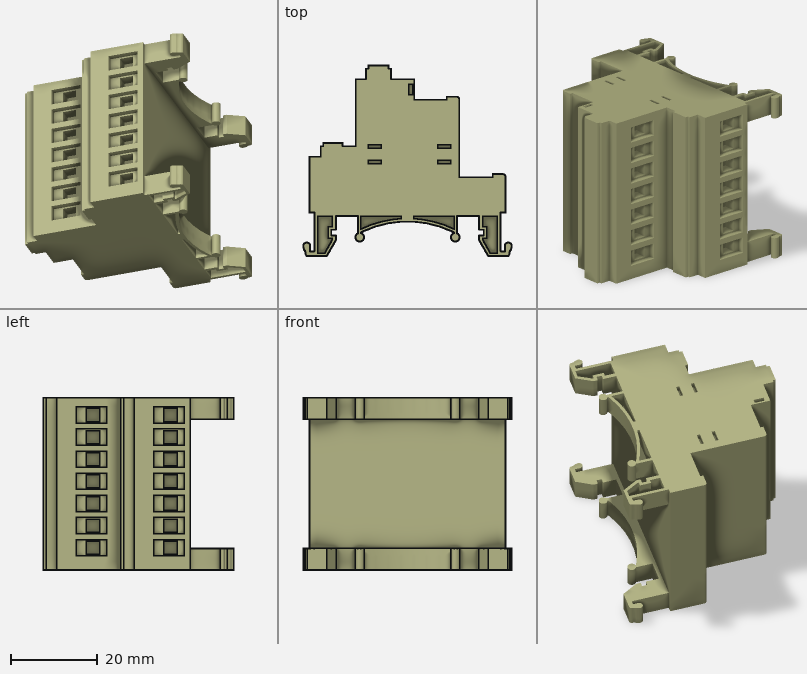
import cadquery as cq
import math


HOUSING_LENGTH = 39.75
TOP_Z = HOUSING_LENGTH / 2
LOWER_HALF_WIDTH = 22.6
UPPER_HALF_WIDTH = 12.0
HOUSING_BASE_Y = 10.05
TIER_PITCH = 17.85
RIDGE_STEP = 0.7
RIGHT_LEDGE_Y = 18.25
RIGHT_RIDGE_WIDTH = 3.0
RIGHT_RIDGE_RADIUS = 0.65
PEAK_Y = 44.0
CENTRE_STEP_X = 1.6
TERRACE_RISE = 2.45
SHOULDER_WIDTH = 0.6
LOWER_RIDGE_X = (-20.0, -14.95)
UPPER_RIDGE_X = (-9.6, -4.4)

PLATE_LENGTH = 5.0
PLATE_EDGE_Y = 9.25
WALL = 0.7
POCKET_DEPTH = PLATE_LENGTH - WALL

CLIP_OUTER_X = 21.45
CLIP_INNER_X = 16.45
CLIP_FOOT_X = 18.65
NOTCH_DEPTH = 1.1
NOTCH_TOP_Y = 6.05
NOTCH_BOTTOM_Y = 4.8
LIP_BOTTOM_Y = 3.75
LIP_RADIUS = 0.25
HOOK_TIP_X = 24.05
HOOK_WIDTH = 1.65
HOOK_TOP_Y = 3.2
HOOK_GAP_FLOOR_Y = 1.1
HOOK_GAP_RADIUS = 0.25
HOOK_TIP_END_Y = 2.2
HOOK_FLAT_END = (23.85, 1.5)
HOOK_HOLLOW_MIDDLE = (23.65, 1.15)
HOOK_HEEL_START = (23.55, 0.7)
HOOK_HEEL_MIDDLE = (23.45, 0.3)
HOOK_FOOT_X = 23.15
CLIP_POCKET_INNER_X = 17.37
CLIP_POCKET_FOOT_X = 19.05

ARCH_RADIUS = 24.05
ARCH_TOP_Y = 8.0
ARCH_CENTRE_Y = ARCH_TOP_Y - ARCH_RADIUS
STRUT_OUTER_X = 11.45
STRUT_INNER_X = STRUT_OUTER_X - WALL
ARCH_END_X = 10.05
ARCH_FOOT_Y = 5.45
BEAD_X = 11.0
BEAD_Y = 4.4
BEAD_RADIUS = 1.0
ARCH_POCKET_INNER_X = 1.45

TERMINAL_COUNT = 7
TERMINAL_PITCH = 5.1
TERMINAL_ROW_Z = 0.6
OPENING_SIZE = (7.08, 3.75)
OPENING_DEPTH = 1.5
OPENING_Y = 14.95
WIRE_HOLE_SIZE = (3.2, 3.05)
WIRE_HOLE_DEPTH = 2.9
WIRE_HOLE_OFFSET = 0.35
WIRE_HOLE_Y = OPENING_Y - WIRE_HOLE_OFFSET

SLOT_SIZE = (3.0, 0.75)
SLOT_DEPTH = 1.45
SLOT_X = (-7.5, 8.45)
SLOT_Y = (21.75, 25.3)
UPRIGHT_SLOT_SIZE = (0.95, 2.4)
UPRIGHT_SLOT_CENTRE = (0.7, 38.4)


def arch_y(x, radius):
    """Height of an arch concentric with the saddle at distance x from its middle."""
    return ARCH_CENTRE_Y + math.sqrt(radius**2 - x**2)


def ridge_points(ridge_x, base_y):
    """Left side of a terrace, up to and along the ridge that tops it."""
    left, right = ridge_x
    shoulder_y = base_y + TERRACE_RISE
    ridge_y = shoulder_y + RIDGE_STEP
    return [
        (left, base_y),
        (left, shoulder_y),
        (left + SHOULDER_WIDTH, shoulder_y),
        (left + SHOULDER_WIDTH, ridge_y),
        (right, ridge_y),
    ]


def right_ridge_points(half_width, ledge_y):
    """Ridge along the +X edge of a tier."""
    left = half_width - RIGHT_RIDGE_WIDTH
    return [
        (left, ledge_y),
        (left, ledge_y + RIDGE_STEP),
        (half_width, ledge_y + RIDGE_STEP),
    ]


def make_housing():
    """Solid body with two stepped tiers on each side."""
    upper_base_y = PEAK_Y - RIDGE_STEP - TERRACE_RISE
    upper_shoulder_y = upper_base_y + TERRACE_RISE
    upper_shoulder_end = UPPER_RIDGE_X[1] + SHOULDER_WIDTH
    lower_base_y = upper_base_y - TIER_PITCH
    lower_shoulder_y = lower_base_y + TERRACE_RISE
    points = [(-LOWER_HALF_WIDTH, HOUSING_BASE_Y), (-LOWER_HALF_WIDTH, lower_base_y)]
    points += ridge_points(LOWER_RIDGE_X, lower_base_y)
    points += [
        (LOWER_RIDGE_X[1], lower_shoulder_y),
        (-UPPER_HALF_WIDTH, lower_shoulder_y),
        (-UPPER_HALF_WIDTH, upper_base_y),
    ]
    points += ridge_points(UPPER_RIDGE_X, upper_base_y)
    points += [
        (UPPER_RIDGE_X[1], upper_shoulder_y),
        (upper_shoulder_end, upper_shoulder_y),
        (upper_shoulder_end, upper_base_y),
        (CENTRE_STEP_X, upper_base_y),
        (CENTRE_STEP_X, RIGHT_LEDGE_Y + TIER_PITCH),
    ]
    points += right_ridge_points(UPPER_HALF_WIDTH, RIGHT_LEDGE_Y + TIER_PITCH)
    points += [(UPPER_HALF_WIDTH, RIGHT_LEDGE_Y)]
    points += right_ridge_points(LOWER_HALF_WIDTH, RIGHT_LEDGE_Y)
    points += [(LOWER_HALF_WIDTH, HOUSING_BASE_Y)]
    housing = cq.Workplane("XY").polyline(points).close().extrude(TOP_Z, both=True)
    for half_width, ledge_y in (
        (UPPER_HALF_WIDTH, RIGHT_LEDGE_Y + TIER_PITCH),
        (LOWER_HALF_WIDTH, RIGHT_LEDGE_Y),
    ):
        corner = cq.selectors.NearestToPointSelector((half_width, ledge_y + RIDGE_STEP, 0))
        housing = housing.edges(corner).fillet(RIGHT_RIDGE_RADIUS)
    return housing


def make_clip():
    """Right-hand rail clip of the upper plate, pocketed from the +Z face."""
    hook_inner_x = HOOK_TIP_X - HOOK_WIDTH
    hook_round_y = HOOK_TOP_Y - HOOK_WIDTH / 2
    notch_x = CLIP_INNER_X + NOTCH_DEPTH
    plate = cq.Workplane("XY", origin=(0, 0, TOP_Z))
    clip = (
        plate.moveTo(CLIP_INNER_X, HOUSING_BASE_Y)
        .lineTo(CLIP_OUTER_X, HOUSING_BASE_Y)
        .lineTo(CLIP_OUTER_X, HOOK_GAP_FLOOR_Y)
        .lineTo(hook_inner_x, HOOK_GAP_FLOOR_Y)
        .lineTo(hook_inner_x, hook_round_y)
        .threePointArc((HOOK_TIP_X - HOOK_WIDTH / 2, HOOK_TOP_Y), (HOOK_TIP_X, hook_round_y))
        .lineTo(HOOK_TIP_X, HOOK_TIP_END_Y)
        .lineTo(*HOOK_FLAT_END)
        .threePointArc(HOOK_HOLLOW_MIDDLE, HOOK_HEEL_START)
        .threePointArc(HOOK_HEEL_MIDDLE, (HOOK_FOOT_X, 0))
        .lineTo(CLIP_FOOT_X, 0)
        .lineTo(CLIP_INNER_X, LIP_BOTTOM_Y)
        .lineTo(CLIP_INNER_X, NOTCH_BOTTOM_Y)
        .lineTo(notch_x, NOTCH_BOTTOM_Y)
        .lineTo(notch_x, NOTCH_TOP_Y)
        .lineTo(CLIP_INNER_X, NOTCH_TOP_Y)
        .close()
        .extrude(-PLATE_LENGTH)
    )
    rounded_corners = (
        (CLIP_INNER_X, NOTCH_BOTTOM_Y, LIP_RADIUS),
        (CLIP_INNER_X, NOTCH_TOP_Y, LIP_RADIUS),
        (CLIP_OUTER_X, HOOK_GAP_FLOOR_Y, HOOK_GAP_RADIUS),
    )
    for x, y, radius in rounded_corners:
        corner = cq.selectors.NearestToPointSelector((x, y, TOP_Z - PLATE_LENGTH / 2))
        clip = clip.edges(corner).fillet(radius)
    pocket = (
        plate.polyline([
            (CLIP_OUTER_X - WALL, PLATE_EDGE_Y),
            (CLIP_OUTER_X - WALL, WALL),
            (CLIP_POCKET_FOOT_X, WALL),
            (CLIP_POCKET_INNER_X, LIP_BOTTOM_Y),
            (CLIP_POCKET_INNER_X, NOTCH_BOTTOM_Y - WALL),
            (notch_x + WALL, NOTCH_BOTTOM_Y - WALL),
            (notch_x + WALL, NOTCH_TOP_Y + WALL),
            (CLIP_POCKET_INNER_X, NOTCH_TOP_Y + WALL),
            (CLIP_POCKET_INNER_X, PLATE_EDGE_Y),
        ])
        .close()
        .extrude(-POCKET_DEPTH)
    )
    return clip.cut(pocket)


def make_saddle():
    """Arched saddle of the upper plate with a bead under each strut."""
    plate = cq.Workplane("XY", origin=(0, 0, TOP_Z))
    arch_end_y = arch_y(ARCH_END_X, ARCH_RADIUS)
    saddle = (
        plate.moveTo(-STRUT_OUTER_X, HOUSING_BASE_Y)
        .lineTo(-STRUT_OUTER_X, BEAD_Y)
        .lineTo(-STRUT_INNER_X, BEAD_Y)
        .lineTo(-STRUT_INNER_X, ARCH_FOOT_Y)
        .lineTo(-ARCH_END_X, arch_end_y)
        .threePointArc((0, ARCH_TOP_Y), (ARCH_END_X, arch_end_y))
        .lineTo(STRUT_INNER_X, ARCH_FOOT_Y)
        .lineTo(STRUT_INNER_X, BEAD_Y)
        .lineTo(STRUT_OUTER_X, BEAD_Y)
        .lineTo(STRUT_OUTER_X, HOUSING_BASE_Y)
        .close()
        .extrude(-PLATE_LENGTH)
    )
    beads = (
        plate.pushPoints([(-BEAD_X, BEAD_Y), (BEAD_X, BEAD_Y)])
        .circle(BEAD_RADIUS)
        .extrude(-PLATE_LENGTH)
    )
    outer_radius = ARCH_RADIUS + WALL
    middle_x = (ARCH_POCKET_INNER_X + STRUT_INNER_X) / 2
    pocket = (
        plate.moveTo(ARCH_POCKET_INNER_X, PLATE_EDGE_Y)
        .lineTo(ARCH_POCKET_INNER_X, arch_y(ARCH_POCKET_INNER_X, outer_radius))
        .threePointArc(
            (middle_x, arch_y(middle_x, outer_radius)),
            (STRUT_INNER_X, arch_y(STRUT_INNER_X, outer_radius)),
        )
        .lineTo(STRUT_INNER_X, PLATE_EDGE_Y)
        .close()
        .extrude(-POCKET_DEPTH)
    )
    return saddle.union(beads).cut(pocket).cut(pocket.mirror("YZ"))


def make_upper_plate():
    """Mounting plate at the +Z end: base strip, two clips and the saddle."""
    strip_height = HOUSING_BASE_Y - PLATE_EDGE_Y
    strip = cq.Workplane("XY").box(
        2 * CLIP_OUTER_X, strip_height, PLATE_LENGTH, centered=(True, False, False)
    ).translate((0, PLATE_EDGE_Y, TOP_Z - PLATE_LENGTH))
    clip = make_clip()
    return strip.union(clip).union(clip.mirror("YZ")).union(make_saddle())


def make_terminal_cutter():
    """Openings and wire holes of all terminals in both tiers."""
    cutter = cq.Workplane("XY")
    tiers = ((-LOWER_HALF_WIDTH, 0), (-UPPER_HALF_WIDTH, TIER_PITCH))
    first_z = TERMINAL_ROW_Z - TERMINAL_PITCH * (TERMINAL_COUNT - 1) / 2
    for face_x, rise in tiers:
        for index in range(TERMINAL_COUNT):
            z = first_z + index * TERMINAL_PITCH
            opening = cq.Workplane("XY").box(OPENING_DEPTH, *OPENING_SIZE, centered=(False, True, True))
            wire_hole = cq.Workplane("XY").box(
                OPENING_DEPTH + WIRE_HOLE_DEPTH, *WIRE_HOLE_SIZE, centered=(False, True, True)
            )
            cutter = cutter.add(opening.translate((face_x, OPENING_Y + rise, z)))
            cutter = cutter.add(wire_hole.translate((face_x, WIRE_HOLE_Y + rise, z)))
    return cutter.combine()


def make_slot_cutter():
    """Narrow blind slots sunk into the +Z face."""
    face = cq.Workplane("XY", origin=(0, 0, TOP_Z))
    centres = [(x, y) for x in SLOT_X for y in SLOT_Y]
    flat_slots = face.pushPoints(centres).rect(*SLOT_SIZE).extrude(-SLOT_DEPTH)
    upright_slot = face.center(*UPRIGHT_SLOT_CENTRE).rect(*UPRIGHT_SLOT_SIZE).extrude(-SLOT_DEPTH)
    return flat_slots.add(upright_slot).combine()


upper_plate = make_upper_plate()
result = (
    make_housing()
    .union(upper_plate)
    .union(upper_plate.mirror("XY"))
    .cut(make_terminal_cutter())
    .cut(make_slot_cutter())
)